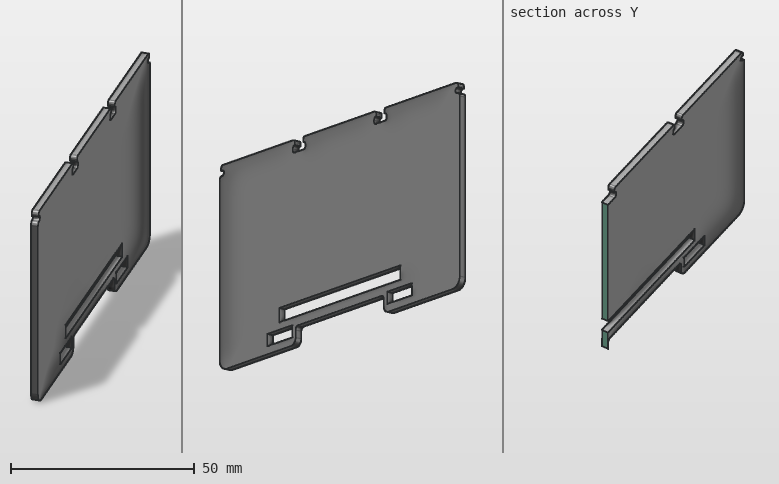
import cadquery as cq

thickness = 2.0
width = 101.8
height = 58.4
bottom = -height / 2
top = height / 2
bottom_corner_radius = 3.1

recess_width = 37.3
recess_depth = 5.2
recess_inner_radius = 1.0
foot_inner_radius = 2.0

long_window_width = 51.3
long_window_height = 4.1
long_window_rise = 7.9
foot_window_width = 10.5
foot_window_height = 3.5
foot_window_rise = 2.3
foot_window_offset = 25.3

slot_offset = 17.2
neck_width = 3.5
neck_depth = 1.5
slot_width = 5.3
slot_depth = 3.7
slot_upper_radius = 0.9
slot_lower_radius = 0.7
lip_radius = 0.8

side_lip_inset = 0.6
side_groove_depth = 1.8
side_groove_height = 1.5
side_groove_radius = side_groove_height / 2
side_lip_radius = 1.0
shoulder_radius = 1.0

cut_length = 2 * thickness


def block(block_width, block_height, y, lower_z):
    """Box through the plate, centred at y and standing on lower_z."""
    return (
        cq.Workplane("XY")
        .box(cut_length, block_width, block_height)
        .translate((0, y, lower_z + block_height / 2))
    )


def round_corners(body, y, z, radius):
    """Fillet the through-thickness edges at (+y, z) and (-y, z)."""
    reach = 0.05
    for side in (-1, 1):
        box = cq.selectors.BoxSelector(
            (-thickness, side * y - reach, z - reach),
            (thickness, side * y + reach, z + reach),
        )
        body = body.edges("|X").edges(box).fillet(radius)
    return body


def make_plate():
    plate = cq.Workplane("XY").box(thickness, width, height)
    plate = plate.cut(block(recess_width, recess_depth, 0, bottom))
    plate = round_corners(plate, width / 2, bottom, bottom_corner_radius)
    plate = round_corners(plate, recess_width / 2, bottom, foot_inner_radius)
    return round_corners(plate, recess_width / 2, bottom + recess_depth, recess_inner_radius)


def cut_windows(plate):
    plate = plate.cut(block(long_window_width, long_window_height, 0, bottom + long_window_rise))
    for side in (-1, 1):
        y = side * foot_window_offset
        plate = plate.cut(block(foot_window_width, foot_window_height, y, bottom + foot_window_rise))
    return plate


def cut_top_slots(plate):
    slot_floor = top - slot_depth
    for side in (-1, 1):
        y = side * slot_offset
        cavity = block(slot_width, slot_depth - neck_depth, y, slot_floor)
        cavity = cavity.edges("|X and >Z").fillet(slot_upper_radius)
        cavity = cavity.edges("|X and <Z").fillet(slot_lower_radius)
        plate = plate.cut(cavity)
        plate = plate.cut(block(neck_width, slot_depth, y, slot_floor))
    for lip_y in (slot_offset - neck_width / 2, slot_offset + neck_width / 2):
        plate = round_corners(plate, lip_y, top, lip_radius)
    return plate


def cut_side_grooves(plate):
    groove_floor = top - neck_depth - side_groove_height
    for side in (-1, 1):
        edge_y = side * width / 2
        groove = (
            cq.Workplane("YZ")
            .center(edge_y, groove_floor + side_groove_radius)
            .slot2D(2 * side_groove_depth, side_groove_height)
            .extrude(thickness, both=True)
        )
        plate = plate.cut(groove)
        plate = plate.cut(block(2 * side_lip_inset, top - groove_floor, edge_y, groove_floor))
    plate = round_corners(plate, width / 2 - side_lip_inset, top, side_lip_radius)
    return round_corners(plate, width / 2, groove_floor, shoulder_radius)


result = cut_side_grooves(cut_top_slots(cut_windows(make_plate())))